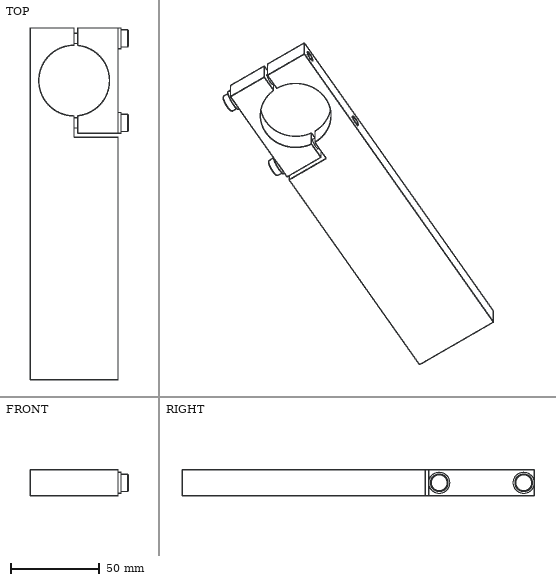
import cadquery as cq

length = 200.0
width = 50.0
thickness = 15.0
mid_height = thickness / 2
edge_chamfer = 0.2

clamp_length = 60.0
slit = 2.0
bore_diameter = 40.0
bore_x = width / 2
bore_y = length - clamp_length / 2
split_x = width / 2
cap_x = split_x + slit
cap_y = length - clamp_length

screw_inset = 6.0
screw_ys = [length - screw_inset, cap_y + screw_inset]
screw_diameter = 6.0
tip_diameter = 4.8
tip_chamfer = (screw_diameter - tip_diameter) / 2
washer_diameter = 12.0
washer_thickness = 1.7
clearance_diameter = 6.5
head_diameter = 10.0
head_chamfer = 0.5
head_projection = 5.8
head_height = head_projection - washer_thickness
head_x = width + washer_thickness


def block(x_min, x_max, y_min, y_max):
    """Full-thickness rectangular block resting on Z = 0."""
    box = cq.Workplane("XY").box(x_max - x_min, y_max - y_min, thickness, centered=False)
    return box.translate((x_min, y_min, 0))


def rod(x_start, rod_length, diameter, y):
    """Cylinder along +X at mid height."""
    start = cq.Workplane("YZ", origin=(x_start, y, mid_height))
    return start.circle(diameter / 2).extrude(rod_length)


def bore():
    """Through cylinder shared by the arm and the cap."""
    return cq.Workplane("XY").center(bore_x, bore_y).circle(bore_diameter / 2).extrude(thickness)


def break_edges(body):
    """Small chamfer on every edge of a clamp half."""
    return body.edges().chamfer(edge_chamfer)


def make_arm():
    """Long plate with a corner notch for the cap, half of the bore and the screw holes."""
    notch = block(split_x, width, cap_y - slit, length)
    arm = break_edges(block(0, width, 0, length).cut(notch).cut(bore()))
    for y in screw_ys:
        arm = arm.cut(rod(0, split_x, screw_diameter, y))
    return arm


def make_cap():
    """Removable clamp half with clearance holes for the screws."""
    cap = break_edges(block(cap_x, width, cap_y, length).cut(bore()))
    for y in screw_ys:
        cap = cap.cut(rod(cap_x, width - cap_x, clearance_diameter, y))
    return cap


def make_washer(y):
    """Flat ring between the cap and a screw head."""
    hole = rod(width, washer_thickness, clearance_diameter, y)
    return rod(width, washer_thickness, washer_diameter, y).cut(hole)


def make_screw(y):
    """Headed screw whose chamfered tip is flush with the -X face of the arm."""
    shank = rod(0, head_x, screw_diameter, y).faces("<X").chamfer(tip_chamfer)
    head = rod(head_x, head_height, head_diameter, y).faces(">X").chamfer(head_chamfer)
    return shank.union(head)


arm = make_arm()
cap = make_cap()
washers = [make_washer(y).val() for y in screw_ys]
screws = [make_screw(y).solids().val() for y in screw_ys]

result = cq.Compound.makeCompound([arm.val(), cap.val(), *washers, *screws])